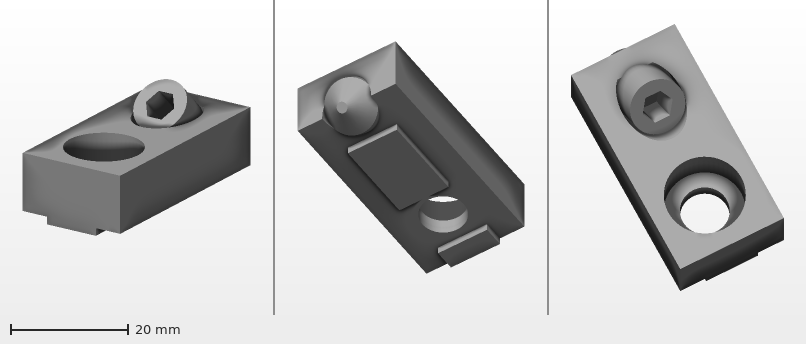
import cadquery as cq
import math

block_width = 20.0
block_length = 40.0
block_top = 12.0
key_height = 1.4
key_width = 10.0

front_key = (0.0, 4.0)
rear_key = (16.0, 32.0)

mount_y = 10.0
mount_diameter = 8.5
mount_counterbore_diameter = 14.0
mount_counterbore_depth = 7.6

screw_tilt = 45.0
screw_diameter = 10.0
screw_length = 20.0
tip_diameter = 2.0
socket_across_flats = 5.0
socket_depth = 7.0

bore_y = 29.5
clearance_diameter = 11.0
clearance_depth = 4.3
screw_projection = 3.17
bore_reach = 30.0

axis_direction = cq.Vector(0, -math.sin(math.radians(screw_tilt)), math.cos(math.radians(screw_tilt)))
axis_at_top = cq.Vector(0, bore_y, block_top)


def plane_on_axis(height):
    """Plane square to the screw axis, its normal pointing up and out of the block."""
    return cq.Plane(origin=axis_at_top + axis_direction * height, xDir=(1, 0, 0), normal=axis_direction)


def make_key(span):
    start, end = span
    return (
        cq.Workplane("XY")
        .center(0, (start + end) / 2)
        .rect(key_width, end - start)
        .extrude(key_height)
    )


def make_block():
    block = (
        cq.Workplane("XY", origin=(0, block_length / 2, key_height))
        .rect(block_width, block_length)
        .extrude(block_top - key_height)
    )
    for span in (front_key, rear_key):
        block = block.union(make_key(span))

    block = block.cut(make_mounting_hole())

    bore = cq.Workplane(plane_on_axis(0)).circle(screw_diameter / 2).extrude(bore_reach, both=True)
    mouth = cq.Workplane(plane_on_axis(-clearance_depth)).circle(clearance_diameter / 2).extrude(bore_reach)
    return block.cut(bore).cut(mouth)


def make_mounting_hole():
    through = cq.Workplane("XY").center(0, mount_y).circle(mount_diameter / 2).extrude(block_top)
    counterbore = (
        cq.Workplane("XY", origin=(0, mount_y, block_top))
        .circle(mount_counterbore_diameter / 2)
        .extrude(-mount_counterbore_depth)
    )
    return through.union(counterbore)


def make_screw():
    socket_across_corners = socket_across_flats / math.cos(math.pi / 6)
    point_length = (screw_diameter - tip_diameter) / 2
    head_plane = plane_on_axis(screw_projection)
    shank = cq.Workplane(head_plane).circle(screw_diameter / 2).extrude(-screw_length)
    socket = cq.Workplane(head_plane).polygon(6, socket_across_corners).extrude(-socket_depth)
    lower_end = cq.selectors.DirectionMinMaxSelector(axis_direction, False)
    return shank.faces(lower_end).chamfer(point_length).cut(socket)


block = make_block()
screw = make_screw()

result = cq.Compound.makeCompound([block.val(), screw.val()])